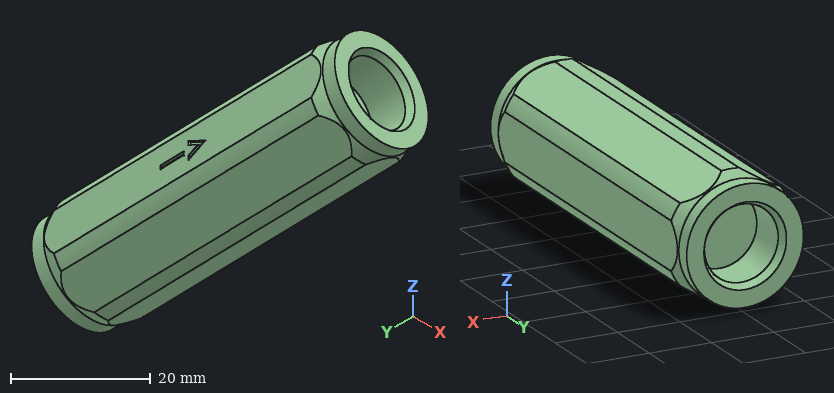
import cadquery as cq
import math

length = 62.0
across_flats = 19.0
corner_diameter = 20.45

collar_diameter = 18.8
collar_length = 2.5
cone_length = 2.25

bore_diameter = 11.85
bore_mouth_diameter = 13.25
bore_depth = 8.0
mouth_chamfer_angle = 30.0

arrow_depth = 0.5
shaft_start = 4.6
shaft_end = -0.2
shaft_width = 0.7
head_back = -1.2
head_tip = -4.6
head_notch = -3.15
head_half_width = 1.7
notch_half_width = 0.9

half_length = length / 2
collar_inner_end = half_length - collar_length
cone_inner_end = collar_inner_end - cone_length
mouth_chamfer_depth = (
    (bore_mouth_diameter - bore_diameter) / 2 / math.tan(math.radians(mouth_chamfer_angle))
)


def revolve_about_y(points):
    """Turn a closed (radius, y) outline about the Y axis."""
    return cq.Workplane("XY").polyline(points).close().revolve(360, (0, 0), (0, 1))


def make_body():
    """Hexagonal bar, flats facing +X and -X, trimmed by the turned outline."""
    hexagon_diameter = across_flats / math.cos(math.pi / 6)
    bar = (
        cq.Workplane("XZ")
        .transformed(rotate=(0, 0, 90))
        .polygon(6, hexagon_diameter)
        .extrude(half_length, both=True)
    )
    collar_radius = collar_diameter / 2
    corner_radius = corner_diameter / 2
    envelope = revolve_about_y([
        (0, -half_length),
        (collar_radius, -half_length),
        (collar_radius, -collar_inner_end),
        (corner_radius, -cone_inner_end),
        (corner_radius, cone_inner_end),
        (collar_radius, collar_inner_end),
        (collar_radius, half_length),
        (0, half_length),
    ])
    return bar.intersect(envelope)


def make_port(side):
    """Flat-bottomed bore with a chamfered mouth; side is +1 or -1 along Y."""
    bore_radius = bore_diameter / 2
    return revolve_about_y([
        (0, side * half_length),
        (bore_mouth_diameter / 2, side * half_length),
        (bore_radius, side * (half_length - mouth_chamfer_depth)),
        (bore_radius, side * (half_length - bore_depth)),
        (0, side * (half_length - bore_depth)),
    ])


def make_arrow():
    """Shaft and open head of the arrow, sunk from the -X flat."""
    flat = cq.Workplane("YZ", origin=(-across_flats / 2, 0, 0))
    shaft = (
        flat
        .center((shaft_start + shaft_end) / 2, 0)
        .rect(shaft_start - shaft_end, shaft_width)
        .extrude(arrow_depth)
    )
    head = (
        flat
        .polyline([
            (head_back, head_half_width),
            (head_tip, 0),
            (head_back, -head_half_width),
            (head_back, -notch_half_width),
            (head_notch, 0),
            (head_back, notch_half_width),
        ])
        .close()
        .extrude(arrow_depth)
    )
    return shaft, head


result = make_body()
for side in (-1, 1):
    result = result.cut(make_port(side))
for stroke in make_arrow():
    result = result.cut(stroke)